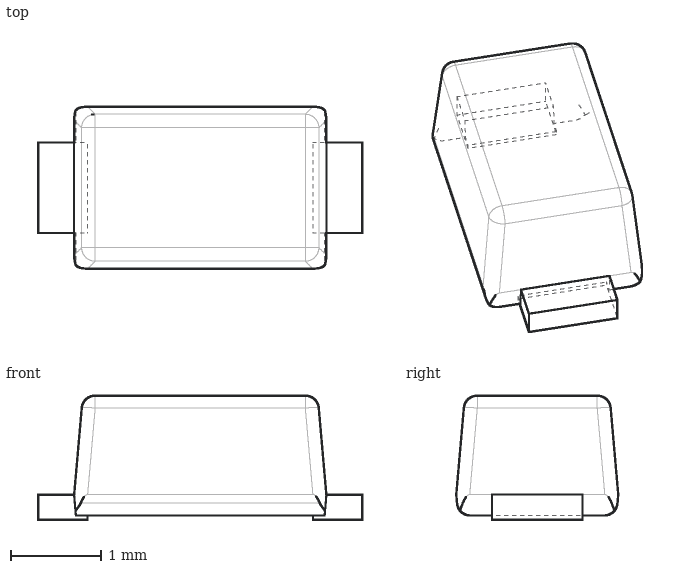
import cadquery as cq
import math

overall_length = 3.6
overall_height = 1.38

body_length = 2.8
body_width = 1.8
body_bottom = 0.045
parting_height = 0.28
draft_angle = 5.0
edge_radius = 0.15

lead_length = 0.55
lead_width = 1.008
lead_thickness = parting_height


def tapered_block(angle):
    """Full-height body block whose sides pass through the parting outline.

    A positive angle leans the sides inward going up, a negative one outward.
    """
    side_growth = (parting_height - body_bottom) * math.tan(math.radians(angle))
    return (
        cq.Workplane("XY", origin=(0, 0, body_bottom))
        .rect(body_length + 2 * side_growth, body_width + 2 * side_growth)
        .extrude(overall_height - body_bottom, taper=angle)
    )


def make_body():
    """Body bounded by an upward taper and a downward taper that cross at the parting plane."""
    upper_shape = (
        tapered_block(draft_angle)
        .edges("not(<Z)")
        .fillet(edge_radius)
    )

    lower_shape = (
        tapered_block(-draft_angle)
        .faces("<Z")
        .edges("|X")
        .fillet(edge_radius)
    )
    return upper_shape.intersect(lower_shape)


def make_lead(side):
    """Lead on the -X side (side = -1) or the +X side (side = 1)."""
    center_x = side * (overall_length - lead_length) / 2
    return (
        cq.Workplane("XY")
        .center(center_x, 0)
        .rect(lead_length, lead_width)
        .extrude(lead_thickness)
    )


result = make_body()
for side in (-1, 1):
    result = result.union(make_lead(side))